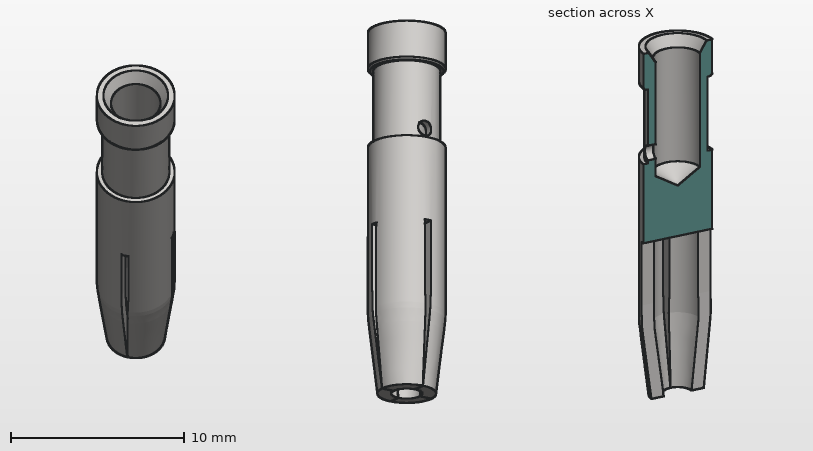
import cadquery as cq

length = 22.0
body_diameter = 4.5
neck_diameter = 3.9
tip_diameter = 3.4
shoulder_height = 15.0
collar_height = 2.2
collar_chamfer = 0.13

blend_top = 4.85
blend_middle = 4.49
blend_bottom = 3.7
blend_middle_diameter = 4.47
blend_bottom_diameter = 4.3

cup_diameter = 2.85
cup_mouth_diameter = 3.75
cup_chamfer_depth = 0.7
cup_floor = 14.08
cup_cone_depth = 0.88

inspection_diameter = 0.9
inspection_height = 15.65

socket_diameter = 2.9
socket_tip_diameter = socket_diameter - (body_diameter - tip_diameter)

slot_top = 9.97
slot_width = 0.42
slot_tip_width = 0.02
slot_taper_top = 5.95


def revolve_profile(points):
    """Revolve a closed (radius, height) outline about Z."""
    outline = cq.Workplane("XZ").polyline(points).close()
    return outline.revolve(360, (0, 0, 0), (0, 1, 0))


def make_body():
    body_radius = body_diameter / 2
    neck_radius = neck_diameter / 2
    collar_bottom = length - collar_height
    neck_top = collar_bottom - collar_chamfer
    return revolve_profile([
        (0, 0),
        (tip_diameter / 2, 0),
        (blend_bottom_diameter / 2, blend_bottom),
        (blend_middle_diameter / 2, blend_middle),
        (body_radius, blend_top),
        (body_radius, shoulder_height),
        (neck_radius, shoulder_height),
        (neck_radius, neck_top),
        (body_radius - collar_chamfer, neck_top),
        (body_radius, collar_bottom),
        (body_radius, length),
        (0, length),
    ])


def make_cup():
    cup_radius = cup_diameter / 2
    return revolve_profile([
        (0, cup_floor - cup_cone_depth),
        (cup_radius, cup_floor),
        (cup_radius, length - cup_chamfer_depth),
        (cup_mouth_diameter / 2, length),
        (0, length),
    ])


def make_socket():
    socket_radius = socket_diameter / 2
    return revolve_profile([
        (0, 0),
        (socket_tip_diameter / 2, 0),
        (socket_radius, blend_middle),
        (socket_radius, slot_top),
        (0, slot_top),
    ])


def make_inspection_hole():
    hole = cq.Workplane("XZ").center(0, inspection_height).circle(inspection_diameter / 2)
    return hole.extrude(-body_diameter / 2)


def make_slot(plane):
    half_width = slot_width / 2
    half_tip = slot_tip_width / 2
    outline = cq.Workplane(plane).polyline([
        (-half_tip, 0),
        (half_tip, 0),
        (half_width, slot_taper_top),
        (half_width, slot_top),
        (-half_width, slot_top),
        (-half_width, slot_taper_top),
    ]).close()
    return outline.extrude(body_diameter, both=True)


result = make_body().cut(make_cup()).cut(make_socket()).cut(make_inspection_hole())
for slot_plane in ("XZ", "YZ"):
    result = result.cut(make_slot(slot_plane))